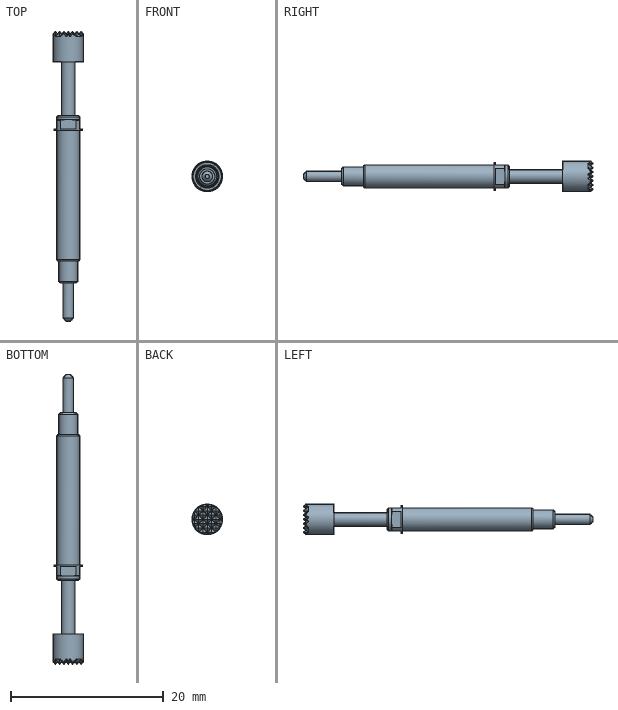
import cadquery as cq
import math


HEAD_TIP_Y = 13.0
HEAD_LENGTH = 4.0
SOCKET_TOP_Y = 2.0
COLLAR_TOP_Y = 1.45
FLANGE_THICKNESS = 0.2
BARREL_END_Y = -17.12
STEP_END_Y = -20.0
TAIL_END_Y = -25.0

HEAD_DIAMETER = 4.0
PLUNGER_DIAMETER = 1.8
FLANGE_DIAMETER = 3.7
BARREL_DIAMETER = 3.05
STEP_DIAMETER = 2.5
TAIL_DIAMETER = 1.4
TAIL_TIP_DIAMETER = 0.55

SOCKET_TOP_CHAMFER = 0.2
COLLAR_CHAMFER_HEIGHT = 0.1
BARREL_CHAMFER_LENGTH = 0.2
BARREL_CHAMFER_INSET = 0.13
STEP_CHAMFER = 0.25
TAIL_CONE_LENGTH = 0.45

GROOVE_ANGLE = 60.0
GROOVES_PER_FAMILY = 6
GROOVE_PITCH = HEAD_DIAMETER / (GROOVES_PER_FAMILY - 1)
GROOVE_DEPTH = GROOVE_PITCH / 2 / math.tan(math.radians(GROOVE_ANGLE / 2))
GROOVE_DIRECTIONS = (45, -45)


def turned_body():
    """Revolve the half outline (radius, y) about the Y axis."""
    head_radius = HEAD_DIAMETER / 2
    plunger_radius = PLUNGER_DIAMETER / 2
    flange_radius = FLANGE_DIAMETER / 2
    barrel_radius = BARREL_DIAMETER / 2
    step_radius = STEP_DIAMETER / 2
    tail_radius = TAIL_DIAMETER / 2
    head_base_y = HEAD_TIP_Y - HEAD_LENGTH
    outline = [
        (0, HEAD_TIP_Y),
        (head_radius, HEAD_TIP_Y),
        (head_radius, head_base_y),
        (plunger_radius, head_base_y),
        (plunger_radius, SOCKET_TOP_Y),
        (barrel_radius - SOCKET_TOP_CHAMFER, SOCKET_TOP_Y),
        (barrel_radius, SOCKET_TOP_Y - SOCKET_TOP_CHAMFER),
        (barrel_radius, COLLAR_TOP_Y),
        (flange_radius, COLLAR_TOP_Y - COLLAR_CHAMFER_HEIGHT),
        (flange_radius, 0),
        (barrel_radius, 0),
        (barrel_radius, BARREL_END_Y + BARREL_CHAMFER_LENGTH),
        (barrel_radius - BARREL_CHAMFER_INSET, BARREL_END_Y),
        (step_radius, BARREL_END_Y),
        (step_radius, STEP_END_Y + STEP_CHAMFER),
        (step_radius - STEP_CHAMFER, STEP_END_Y),
        (tail_radius, STEP_END_Y),
        (tail_radius, TAIL_END_Y + TAIL_CONE_LENGTH),
        (TAIL_TIP_DIAMETER / 2, TAIL_END_Y),
        (0, TAIL_END_Y),
    ]
    return cq.Workplane("XY").polyline(outline).close().revolve(360, (0, 0, 0), (0, 1, 0))


def collar_flats():
    """Material outside a square, removed to leave four flats level with the barrel."""
    flat_length = COLLAR_TOP_Y - FLANGE_THICKNESS
    outer_side = 2 * FLANGE_DIAMETER
    return (
        cq.Workplane("XZ", origin=(0, COLLAR_TOP_Y, 0))
        .rect(outer_side, outer_side)
        .rect(BARREL_DIAMETER, BARREL_DIAMETER)
        .extrude(flat_length)
    )


def groove_family(direction):
    """List of parallel V grooves across the head end face, turned about Y by the given angle."""
    half_pitch = GROOVE_PITCH / 2
    middle = (GROOVES_PER_FAMILY - 1) / 2
    family = []
    for index in range(GROOVES_PER_FAMILY):
        center = (index - middle) * GROOVE_PITCH
        groove = (
            cq.Workplane("XY")
            .moveTo(center - half_pitch, HEAD_TIP_Y)
            .lineTo(center, HEAD_TIP_Y - GROOVE_DEPTH)
            .lineTo(center + half_pitch, HEAD_TIP_Y)
            .close()
            .extrude(HEAD_DIAMETER, both=True)
            .rotate((0, 0, 0), (0, 1, 0), direction)
        )
        family.append(groove)
    return family


result = turned_body().cut(collar_flats())
for direction in GROOVE_DIRECTIONS:
    for groove in groove_family(direction):
        result = result.cut(groove)